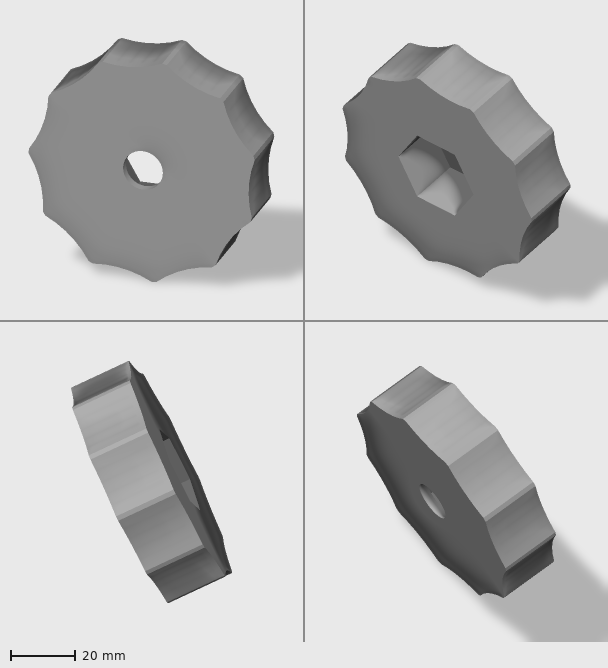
import cadquery as cq
import math

lobe_count = 11
thickness = 20.0
outer_diameter = 75.05
valley_radius = 34.7
tip_width = 1.55
first_tip_angle = 13.7

bore_diameter = 13.0
web_thickness = 3.0
hex_across_flats = 25.5

outer_radius = outer_diameter / 2
lobe_pitch = 360 / lobe_count
half_tip_angle = math.degrees(math.asin(tip_width / 2 / outer_radius))
hex_across_corners = hex_across_flats / math.cos(math.pi / 6)


def polar(radius, degrees):
    """X and Z of a point at the given radius and angle about the wheel axis."""
    angle = math.radians(degrees)
    return radius * math.cos(angle), radius * math.sin(angle)


def make_wheel():
    """Scalloped disc from the front face at Y = 0 to the back face."""
    outline = cq.Workplane("XZ").moveTo(*polar(outer_radius, first_tip_angle - half_tip_angle))
    for lobe in range(lobe_count):
        tip_angle = first_tip_angle + lobe * lobe_pitch
        next_tip_angle = tip_angle + lobe_pitch
        tip_middle = polar(outer_radius, tip_angle)
        tip_end = polar(outer_radius, tip_angle + half_tip_angle)
        valley = polar(valley_radius, tip_angle + lobe_pitch / 2)
        next_tip_start = polar(outer_radius, next_tip_angle - half_tip_angle)
        outline = outline.threePointArc(tip_middle, tip_end)
        outline = outline.threePointArc(valley, next_tip_start)
    return outline.close().extrude(-thickness)


def make_bore():
    """Round bore through the full thickness."""
    return cq.Workplane("XZ").circle(bore_diameter / 2).extrude(-thickness)


def make_nut_pocket():
    """Hexagonal pocket open at the back face."""
    pocket_depth = thickness - web_thickness
    pocket_floor = cq.Workplane("XZ", origin=(0, web_thickness, 0))
    return pocket_floor.polygon(6, hex_across_corners).extrude(-pocket_depth)


result = make_wheel().cut(make_bore()).cut(make_nut_pocket())